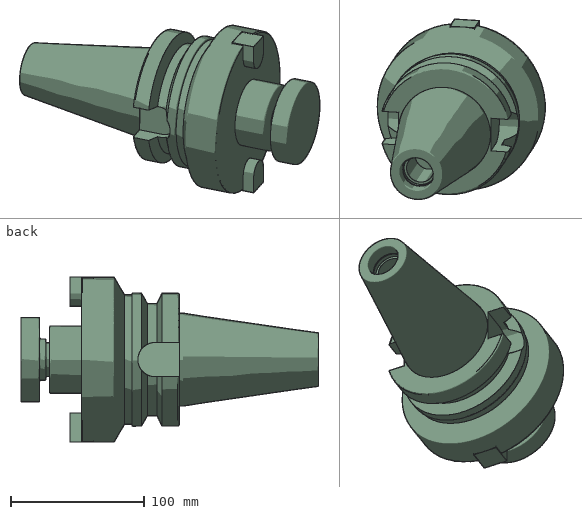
import cadquery as cq

TOTAL_LENGTH = 223.3

TAPER_SMALL_DIA = 40.2
TAPER_LARGE_DIA = 70.0
TAPER_END = 101.6
TAPER_TIP_ROUND = 1.0

FLANGE_DIA = 100.0
FLANGE_START = 104.5
FLANGE_ROUND = 1.3
FRONT_RIM_END = 117.5
V_GROOVE_DIA = 84.5
V_GROOVE_START = 121.3
V_GROOVE_END = 128.5
REAR_RIM_START = 132.9
REAR_RIM_END = 140.0
REAR_RIM_ROUND = 1.0
FLANGE_NECK_DIA = 97.4

CONE_START = 145.5
DRIVE_FLANGE_DIA = 124.0
DRIVE_FLANGE_START = 153.5
DRIVE_FLANGE_FACE = 178.0
DRIVE_FLANGE_ROUND = 1.0

SPIGOT_DIA = 50.7
SPIGOT_END = 202.0
SPIGOT_ROUND = 1.3

DRIVE_SLOT_WIDTH = 25.7
DRIVE_SLOT_END = 135.5
DRIVE_SLOT_FLOOR = 35.3

BORE_DIA = 25.0
BORE_MOUTH_ROUND = 1.1
BORE_TAPER_START = 9.4
BORE_TAPER_END = 10.0
BORE_SEAT_DIA = 24.5
BORE_DEPTH = 13.2
THREAD_BORE_DIA = 20.8
THREAD_BORE_DEPTH = 44.7

KEY_WIDTH = 19.0
KEY_HEIGHT = 22.0
KEY_START = 168.8
KEY_LENGTH = 17.6

SCREW_DIA = 25.5
SCREW_TIP = 168.8
COLLAR_DIA = 31.0
COLLAR_START = 204.5
COLLAR_ROUND = 1.0
SCREW_FILLET = 1.1
SCREW_HEAD_DIA = 63.5
SCREW_HEAD_START = 209.3
SCREW_HEAD_ROUND = 1.0


def turned(profile):
    """Solid of revolution about X through (x, radius) points, closed along the axis."""
    start, end = profile[0][0], profile[-1][0]
    points = [(start, 0), *profile, (end, 0)]
    return cq.Workplane("XY").polyline(points).close().revolve(360, (0, 0), (1, 0))


def round_circle(body, x, diameter, radius):
    """Fillet the circular edge of the given diameter whose plane crosses the axis at x."""
    margin = 0.11
    reach = diameter / 2 + margin
    edge = cq.selectors.BoxSelector(
        (x - margin, -reach, -reach), (x + margin, reach, reach), boundingbox=True
    )
    widest = max(body.edges(edge).vals(), key=lambda circle: circle.radius())
    return body.newObject([widest]).fillet(radius)


def turned_holder():
    holder = turned([
        (0, TAPER_SMALL_DIA / 2),
        (TAPER_END, TAPER_LARGE_DIA / 2),
        (FLANGE_START, TAPER_LARGE_DIA / 2),
        (FLANGE_START, FLANGE_DIA / 2),
        (FRONT_RIM_END, FLANGE_DIA / 2),
        (V_GROOVE_START, V_GROOVE_DIA / 2),
        (V_GROOVE_END, V_GROOVE_DIA / 2),
        (REAR_RIM_START, FLANGE_DIA / 2),
        (REAR_RIM_END, FLANGE_DIA / 2),
        (REAR_RIM_END, FLANGE_NECK_DIA / 2),
        (CONE_START, FLANGE_NECK_DIA / 2),
        (DRIVE_FLANGE_START, DRIVE_FLANGE_DIA / 2),
        (DRIVE_FLANGE_FACE, DRIVE_FLANGE_DIA / 2),
        (DRIVE_FLANGE_FACE, SPIGOT_DIA / 2),
        (SPIGOT_END, SPIGOT_DIA / 2),
    ])
    holder = round_circle(holder, 0, TAPER_SMALL_DIA, TAPER_TIP_ROUND)
    holder = round_circle(holder, FLANGE_START, FLANGE_DIA, FLANGE_ROUND)
    holder = round_circle(holder, REAR_RIM_END, FLANGE_DIA, REAR_RIM_ROUND)
    holder = round_circle(holder, DRIVE_FLANGE_START, DRIVE_FLANGE_DIA, DRIVE_FLANGE_ROUND)
    holder = round_circle(holder, DRIVE_FLANGE_FACE, DRIVE_FLANGE_DIA, DRIVE_FLANGE_ROUND)
    return round_circle(holder, SPIGOT_END, SPIGOT_DIA, SPIGOT_ROUND)


def draw_bar_bore():
    return turned([
        (0, BORE_DIA / 2),
        (BORE_TAPER_START, BORE_DIA / 2),
        (BORE_TAPER_END, BORE_SEAT_DIA / 2),
        (BORE_DEPTH, BORE_SEAT_DIA / 2),
        (BORE_DEPTH, THREAD_BORE_DIA / 2),
        (THREAD_BORE_DEPTH, THREAD_BORE_DIA / 2),
    ])


def drive_slot(side):
    """Round-ended slot, open towards the taper, cut from the flange rim down to a flat floor."""
    end_radius = DRIVE_SLOT_WIDTH / 2
    depth = FLANGE_DIA / 2 - DRIVE_SLOT_FLOOR
    round_center = DRIVE_SLOT_END - end_radius
    return (
        cq.Workplane("XZ", origin=(0, side * DRIVE_SLOT_FLOOR, 0))
        .moveTo(FLANGE_START, -end_radius)
        .lineTo(round_center, -end_radius)
        .threePointArc((DRIVE_SLOT_END, 0), (round_center, end_radius))
        .lineTo(FLANGE_START, end_radius)
        .close()
        .extrude(-side * depth)
    )


def drive_key(side):
    """Key lying along X with a flat outer face and a rounded inner end."""
    half_width = KEY_WIDTH / 2
    outer = side * DRIVE_FLANGE_DIA / 2
    inner = outer - side * KEY_HEIGHT
    round_center = inner + side * half_width
    return (
        cq.Workplane("YZ", origin=(KEY_START, 0, 0))
        .moveTo(-half_width, outer)
        .lineTo(-half_width, round_center)
        .threePointArc((0, inner), (half_width, round_center))
        .lineTo(half_width, outer)
        .close()
        .extrude(KEY_LENGTH)
    )


def clamping_screw():
    """Flat-headed screw whose shank fills its hole in the spigot and whose collar backs the head."""
    screw = turned([
        (SCREW_TIP, SCREW_DIA / 2),
        (COLLAR_START, SCREW_DIA / 2),
        (COLLAR_START, COLLAR_DIA / 2),
        (SCREW_HEAD_START, COLLAR_DIA / 2),
        (SCREW_HEAD_START, SCREW_HEAD_DIA / 2),
        (TOTAL_LENGTH, SCREW_HEAD_DIA / 2),
    ])
    screw = round_circle(screw, COLLAR_START, COLLAR_DIA, COLLAR_ROUND)
    screw = round_circle(screw, COLLAR_START, SCREW_DIA, SCREW_FILLET)
    screw = round_circle(screw, SCREW_HEAD_START, SCREW_HEAD_DIA, SCREW_HEAD_ROUND)
    screw = round_circle(screw, SCREW_HEAD_START, COLLAR_DIA, SCREW_FILLET)
    return round_circle(screw, TOTAL_LENGTH, SCREW_HEAD_DIA, SCREW_HEAD_ROUND)


screw = clamping_screw()
keys = [drive_key(side) for side in (1, -1)]

holder = turned_holder().cut(draw_bar_bore())
holder = round_circle(holder, 0, BORE_DIA, BORE_MOUTH_ROUND)
for side in (1, -1):
    holder = holder.cut(drive_slot(side))
for fitted_body in (screw, *keys):
    holder = holder.cut(fitted_body)

result = cq.Compound.makeCompound([holder.val(), screw.val(), *[key.val() for key in keys]])